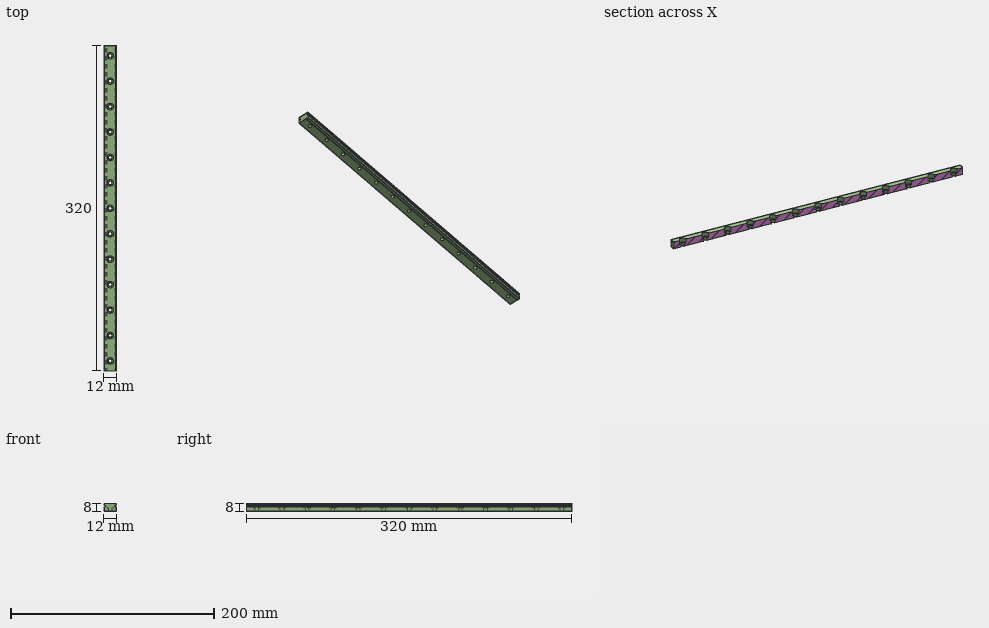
import cadquery as cq

width = 12.0
length = 320.0
height = 8.0
half_width = width / 2

top_bevel_width = 0.6
top_bevel_height = 0.6
base_bevel = 0.3

raceway_radius = 1.0
raceway_height = 5.3
relief_width = 0.5
relief_depth = 1.4

mark_radius = 0.2
mark_x = -3.2

hole_count = 13
hole_pitch = 25.0
hole_diameter = 3.5
counterbore_diameter = 6.5
counterbore_depth = 4.5


def rail_body():
    """Solid bar with bevelled long edges, centred on X and Y."""
    right_side = [
        (half_width - base_bevel, 0),
        (half_width, base_bevel),
        (half_width, height - top_bevel_height),
        (half_width - top_bevel_width, height),
    ]
    left_side = [(-x, z) for x, z in reversed(right_side)]
    section = cq.Workplane("XZ").polyline(right_side + left_side).close()
    return section.extrude(length / 2, both=True)


def round_groove(x, z, radius):
    """Round cutter along the whole rail, with its axis at (x, z)."""
    section = cq.Workplane("XZ").center(x, z).circle(radius)
    return section.extrude(length / 2, both=True)


def relief_slot(side):
    """Cutter for the narrow slot along the bottom of one raceway."""
    slot = cq.Workplane("XY").box(2 * relief_depth, length, relief_width)
    return slot.translate((side * half_width, 0, raceway_height))


def cut_raceways(rail):
    """Ball raceway and relief slot in the left and right side faces."""
    for side in (-1, 1):
        rail = rail.cut(round_groove(side * half_width, raceway_height, raceway_radius))
        rail = rail.cut(relief_slot(side))
    return rail


def drill_mounting_holes(rail):
    """Row of counterbored through holes along the middle of the top face."""
    top = rail.faces(">Z").workplane(origin=(0, 0, height))
    row = top.rarray(1, hole_pitch, 1, hole_count)
    return row.cboreHole(hole_diameter, counterbore_diameter, counterbore_depth)


rail = cut_raceways(rail_body())
rail = rail.cut(round_groove(mark_x, 0, mark_radius))
result = drill_mounting_holes(rail)